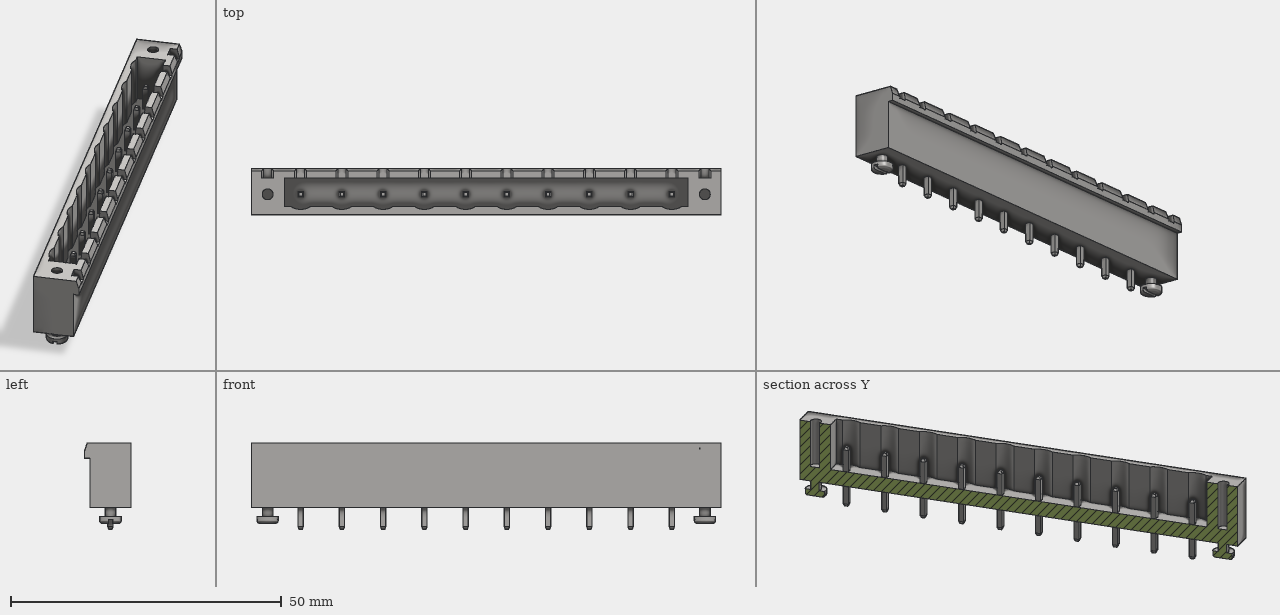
import cadquery as cq

POLE_COUNT = 10
PITCH = 7.62
ROW_LENGTH = (POLE_COUNT - 1) * PITCH
SCREW_SPAN = 80.78

HOUSING_LENGTH = 86.78
HOUSING_DEPTH = 7.6
HOUSING_HEIGHT = 12.0
FRONT_Y = -HOUSING_DEPTH / 2
BACK_Y = HOUSING_DEPTH / 2

LIP_REACH = 1.0
LIP_HEIGHT = 2.9
LIP_BEVEL_REACH = 0.5
LIP_BEVEL_HEIGHT = 1.5
LIP_Y = BACK_Y + LIP_REACH

CAVITY_LENGTH = 74.5
FRONT_WALL = 1.5
BACK_WALL = 0.8
FLOOR_THICKNESS = 3.0
CAVITY_FRONT_Y = FRONT_Y + FRONT_WALL
CAVITY_BACK_Y = BACK_Y - BACK_WALL
CAVITY_DEPTH = HOUSING_HEIGHT - FLOOR_THICKNESS
RECESS_WIDTH = 3.5
RECESS_DEPTH = 0.5

NOTCH_TOP_WIDTH = 2.2
NOTCH_FLOOR_WIDTH = 1.5
NOTCH_DEPTH = 1.8

PIN_WIDTH = 1.0
PIN_TIP_WIDTH = 0.6
PIN_TIP_LENGTH = 0.5
PIN_BOTTOM_Z = -4.0
PIN_TOP_Z = 7.8

SCREW_STEM_DIAMETER = 2.0
SCREW_HEAD_DIAMETER = 4.0
SCREW_HEAD_TOP_Z = -1.6
SCREW_HEAD_HEIGHT = 1.3
SCREW_HEAD_FILLET = 0.5
SCREW_SLOT_WIDTH = 0.8
SCREW_SLOT_DEPTH = 0.7
SCREW_HOLE_DIAMETER = 2.0

contact_xs = [-ROW_LENGTH / 2 + i * PITCH for i in range(POLE_COUNT)]
screw_xs = [-SCREW_SPAN / 2, SCREW_SPAN / 2]


def make_housing():
    """Extrude the side profile, with its bevelled lip, along X."""
    profile = [
        (FRONT_Y, 0),
        (BACK_Y, 0),
        (BACK_Y, HOUSING_HEIGHT - LIP_HEIGHT),
        (LIP_Y, HOUSING_HEIGHT - LIP_HEIGHT),
        (LIP_Y, HOUSING_HEIGHT - LIP_BEVEL_HEIGHT),
        (LIP_Y - LIP_BEVEL_REACH, HOUSING_HEIGHT),
        (FRONT_Y, HOUSING_HEIGHT),
    ]
    return cq.Workplane("YZ").polyline(profile).close().extrude(HOUSING_LENGTH / 2, both=True)


def make_cavity():
    """Pocket whose front edge bulges forward in an arc at each contact."""
    half_length = CAVITY_LENGTH / 2
    outline = cq.Workplane("XY", origin=(0, 0, FLOOR_THICKNESS)).moveTo(-half_length, CAVITY_FRONT_Y)
    for x in contact_xs:
        outline = outline.lineTo(x - RECESS_WIDTH / 2, CAVITY_FRONT_Y)
        outline = outline.threePointArc(
            (x, CAVITY_FRONT_Y - RECESS_DEPTH),
            (x + RECESS_WIDTH / 2, CAVITY_FRONT_Y),
        )
    outline = outline.lineTo(half_length, CAVITY_FRONT_Y)
    outline = outline.lineTo(half_length, CAVITY_BACK_Y).lineTo(-half_length, CAVITY_BACK_Y)
    return outline.close().extrude(CAVITY_DEPTH)


def make_notch(x):
    """Trapezoidal cutter from the cavity's back wall out through the lip."""
    floor_z = HOUSING_HEIGHT - NOTCH_DEPTH
    profile = [
        (x - NOTCH_TOP_WIDTH / 2, HOUSING_HEIGHT),
        (x - NOTCH_FLOOR_WIDTH / 2, floor_z),
        (x + NOTCH_FLOOR_WIDTH / 2, floor_z),
        (x + NOTCH_TOP_WIDTH / 2, HOUSING_HEIGHT),
    ]
    back_plane = cq.Workplane("XZ", origin=(0, LIP_Y, 0))
    return back_plane.polyline(profile).close().extrude(LIP_Y - CAVITY_BACK_Y)


def make_pin_tip(x, base_z, tip_z):
    """Frustum between the full pin section and its smaller end."""
    base = cq.Workplane("XY", origin=(x, 0, base_z)).rect(PIN_WIDTH, PIN_WIDTH)
    return base.workplane(offset=tip_z - base_z).rect(PIN_TIP_WIDTH, PIN_TIP_WIDTH).loft()


def make_pin(x):
    """Square contact pin tapered at both ends."""
    shaft_bottom = PIN_BOTTOM_Z + PIN_TIP_LENGTH
    shaft_top = PIN_TOP_Z - PIN_TIP_LENGTH
    shaft = cq.Workplane("XY", origin=(x, 0, shaft_bottom)).rect(PIN_WIDTH, PIN_WIDTH)
    pin = shaft.extrude(shaft_top - shaft_bottom)
    pin = pin.union(make_pin_tip(x, shaft_bottom, PIN_BOTTOM_Z))
    return pin.union(make_pin_tip(x, shaft_top, PIN_TOP_Z))


def make_screw(x):
    """Stem and rounded head below the housing, slotted along X underneath."""
    stem = cq.Workplane("XY", origin=(x, 0, 0)).circle(SCREW_STEM_DIAMETER / 2).extrude(SCREW_HEAD_TOP_Z)
    head_bottom = cq.Workplane("XY", origin=(x, 0, SCREW_HEAD_TOP_Z - SCREW_HEAD_HEIGHT))
    head = head_bottom.circle(SCREW_HEAD_DIAMETER / 2).extrude(SCREW_HEAD_HEIGHT)
    head = head.faces("<Z").edges().fillet(SCREW_HEAD_FILLET)
    slot = head_bottom.rect(SCREW_HEAD_DIAMETER, SCREW_SLOT_WIDTH).extrude(SCREW_SLOT_DEPTH)
    return stem.union(head).cut(slot)


def make_screw_hole(x):
    """Blind hole in the top face, as deep as the cavity."""
    floor = cq.Workplane("XY", origin=(x, 0, FLOOR_THICKNESS))
    return floor.circle(SCREW_HOLE_DIAMETER / 2).extrude(CAVITY_DEPTH)


result = make_housing().cut(make_cavity())

for notch_x in contact_xs + screw_xs:
    result = result.cut(make_notch(notch_x))

for contact_x in contact_xs:
    result = result.union(make_pin(contact_x))

for screw_x in screw_xs:
    result = result.cut(make_screw_hole(screw_x)).union(make_screw(screw_x))